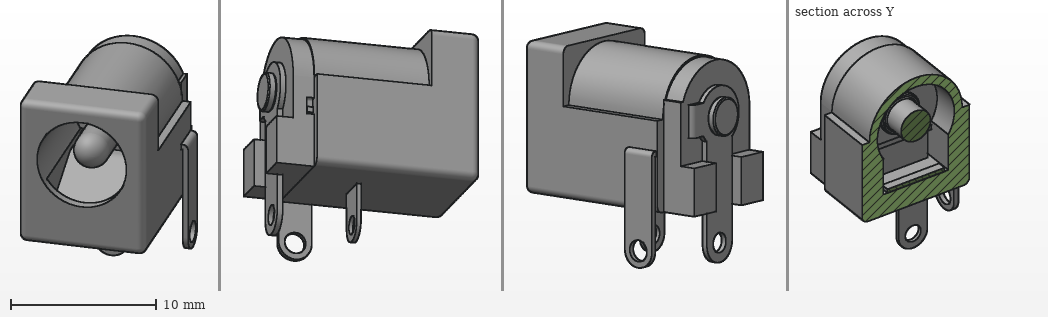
import cadquery as cq
import math


OVERALL_WIDTH = 9.5

HOUSING_WIDTH = 9.01
HOUSING_HALF_WIDTH = HOUSING_WIDTH / 2
HOUSING_TOP = 4.29
HOUSING_BOTTOM = -6.41
HOUSING_LENGTH = 11.8
COLLAR_LENGTH = 3.5
EDGE_RADIUS = 0.53
BARREL_RADIUS = 3.9
SHELF_Z = 0.1
BORE_DIAMETER = 6.4
SLOT_HALF_WIDTH = 2.7
SLOT_START = 0.73

SPRING_THICKNESS = 0.3
TERMINAL_THICKNESS = 0.4

SPRING_HALF_WIDTH = 2.4
SPRING_TOP_HALF_WIDTH = 2.15
SPRING_TOP = -1.25
RAMP_FOOT_Y = 1.58
RAMP_FOOT_Z = -3.55
RAMP_ANGLE = math.radians(36)
NOSE_RADIUS = 0.6
CREST_RADIUS = 0.88
CREST_LEG_LENGTH = 0.58
SPRING_TAIL_WIDTH = 2.4
SPRING_TAIL_BACK = 7.88
SPRING_TAIL_END = -10.25
SPRING_HOLE_DIAMETER = 1.3
NOSE_Y = RAMP_FOOT_Y + NOSE_RADIUS * math.sin(RAMP_ANGLE)
NOSE_Z = RAMP_FOOT_Z - NOSE_RADIUS * math.cos(RAMP_ANGLE)
SLOT_FLOOR = NOSE_Z - NOSE_RADIUS

PLUG_FACE_Y = 9.31
PLUG_BACK_Y = 13.3
PLUG_HALF_WIDTH = 3.81
PLUG_TOP_Z = 0.07
PLUG_TOP_RADIUS = PLUG_HALF_WIDTH
PLUG_SHOULDER_X = 3.55
FOOT_HALF_WIDTH = 2.41
FOOT_TOP = -1.7
BLOCK_BACK_Y = 14.5
BLOCK_TOP = -3.01
BOSS_DIAMETER = 3.2
BOSS_LENGTH = 0.29
WINDOW_BACK_Y = 12.31
WINDOW_TOP = -1.42
WINDOW_BOTTOM = -2.61
WINDOW_FILLET = 0.18
WINDOW_DEPTH = 0.32

PIN_DIAMETER = 2.5
PIN_TIP_Y = 1.35
PIN_COLLAR_DIAMETER = 2.7
PIN_COLLAR_LENGTH = 0.29
PIN_BACK_Y = 14.31
RIM_CHAMFER = (PIN_COLLAR_DIAMETER - PIN_DIAMETER) / 2

DISC_RADIUS = 2.13
REAR_TAIL_WIDTH = 2.8
REAR_TAIL_END = -10.31
REAR_HOLE_DIAMETER = 1.4
ARM_END_X = 2.92
ARM_HALF_HEIGHT = 1.17
ARM_LEG_LENGTH = 0.88
ARM_BEND_RADIUS = 0.38
REAR_TERMINAL_BACK = PLUG_BACK_Y + TERMINAL_THICKNESS

SIDE_OUTER_X = OVERALL_WIDTH - HOUSING_HALF_WIDTH
SIDE_TOP = -2.03
SIDE_BOTTOM = SIDE_TOP - TERMINAL_THICKNESS
SIDE_BEND_RADIUS = 0.38
SIDE_TAIL_WIDTH = 2.4
SIDE_TAIL_END = -10.31
SIDE_HOLE_DIAMETER = 1.5
SIDE_PLATE_BACK = 12.23


def block(x0, x1, y0, y1, z0, z1):
    """Box between the given limits."""
    return cq.Workplane("XY").box(x1 - x0, y1 - y0, z1 - z0, centered=False).translate((x0, y0, z0))


def rod(diameter, y0, y1, z=0.0):
    """Cylinder along Y between y0 and y1."""
    return cq.Workplane("XZ", origin=(0, y0, z)).circle(diameter / 2).extrude(y0 - y1)


def make_side_plate():
    """Flat part of the side terminal, lying inside the plug and reaching its left window."""
    plate = block(-SLOT_HALF_WIDTH, SLOT_HALF_WIDTH, PLUG_FACE_Y, SIDE_PLATE_BACK, SIDE_BOTTOM, SIDE_TOP)
    end_x = -PLUG_HALF_WIDTH + WINDOW_DEPTH / 2
    tip = block(end_x, 0, HOUSING_LENGTH, SIDE_PLATE_BACK, SIDE_BOTTOM, SIDE_TOP)
    return plate.union(tip)


def tail_with_hole(width, end_z, top_z, hole_diameter, y0, y1):
    """Flat tail with a round end and a concentric hole."""
    center_z = end_z + width / 2
    tail = block(-width / 2, width / 2, y0, y1, center_z, top_z).union(rod(width, y0, y1, center_z))
    return tail.cut(rod(hole_diameter, y0, y1, center_z))


def make_side_terminal():
    """Angled strip that leaves the housing through its right wall and turns down into a tail."""
    inner_x = SIDE_OUTER_X - TERMINAL_THICKNESS
    tail_back = PLUG_FACE_Y + SIDE_TAIL_WIDTH
    tail_center_y = PLUG_FACE_Y + SIDE_TAIL_WIDTH / 2
    arm = block(0, SIDE_OUTER_X, PLUG_FACE_Y, tail_back, SIDE_BOTTOM, SIDE_TOP)
    arm = arm.edges("|Y and >X and >Z").fillet(SIDE_BEND_RADIUS)
    tail = tail_with_hole(
        SIDE_TAIL_WIDTH, SIDE_TAIL_END, SIDE_BOTTOM, SIDE_HOLE_DIAMETER, inner_x, SIDE_OUTER_X
    )
    tail = tail.rotate((0, 0, 0), (0, 0, 1), -90).translate((0, tail_center_y, 0))
    return arm.union(tail).union(make_side_plate())


def make_arm_leg():
    """Leg of the rear terminal's arm, bent forward into the plug."""
    return block(
        ARM_END_X - TERMINAL_THICKNESS, ARM_END_X,
        PLUG_BACK_Y - ARM_LEG_LENGTH, REAR_TERMINAL_BACK,
        -ARM_HALF_HEIGHT, ARM_HALF_HEIGHT,
    )


def make_rear_terminal():
    """Disc around the pin with a tail downward and an arm bent forward into the plug."""
    arm = block(0, ARM_END_X, PLUG_BACK_Y, REAR_TERMINAL_BACK, -ARM_HALF_HEIGHT, ARM_HALF_HEIGHT)
    arm = arm.union(make_arm_leg()).edges("|Z and >X and >Y").fillet(ARM_BEND_RADIUS)
    tail = tail_with_hole(
        REAR_TAIL_WIDTH, REAR_TAIL_END, 0, REAR_HOLE_DIAMETER, PLUG_BACK_Y, REAR_TERMINAL_BACK
    )
    disc = rod(2 * DISC_RADIUS, PLUG_BACK_Y, REAR_TERMINAL_BACK)
    pin_hole = rod(PIN_DIAMETER, PLUG_BACK_Y, REAR_TERMINAL_BACK)
    return disc.union(tail).union(arm).cut(pin_hole)


def make_pin():
    """Domed pin with a chamfered collar at the plug boss and a chamfered head behind the rear terminal."""
    dome_y = PIN_TIP_Y + PIN_DIAMETER / 2
    dome = cq.Workplane("XZ", origin=(0, dome_y, 0)).sphere(PIN_DIAMETER / 2)
    shaft = rod(PIN_DIAMETER, dome_y, PIN_BACK_Y).union(dome)
    collar_y = PLUG_FACE_Y - BOSS_LENGTH - RIM_CHAMFER
    collar = rod(PIN_COLLAR_DIAMETER, collar_y, collar_y + PIN_COLLAR_LENGTH)
    collar = collar.faces("<Y").chamfer(RIM_CHAMFER)
    head = rod(PIN_COLLAR_DIAMETER, REAR_TERMINAL_BACK, PIN_BACK_Y).faces("<Y or >Y").chamfer(RIM_CHAMFER)
    return shaft.union(collar).union(head)


def arc_point(y, z, radius, angle):
    return (y + radius * math.cos(angle), z + radius * math.sin(angle))


def make_spring():
    """Folded strip: tail, floor leg, nose bend, ramp, crest bend and crest leg, each cut to width."""
    normal = math.pi / 2 + RAMP_ANGLE
    crest_z = SPRING_TOP - CREST_RADIUS
    ramp_top_z = crest_z + CREST_RADIUS * math.sin(normal)
    ramp_top_y = RAMP_FOOT_Y + (ramp_top_z - RAMP_FOOT_Z) / math.tan(RAMP_ANGLE)
    crest_y = ramp_top_y + CREST_RADIUS * math.sin(RAMP_ANGLE)
    nose_inner = NOSE_RADIUS - SPRING_THICKNESS
    crest_inner = CREST_RADIUS - SPRING_THICKNESS
    crest_middle = (normal + math.pi / 2) / 2
    crest_leg_end = crest_y + CREST_LEG_LENGTH
    nose_middle = (normal + 1.5 * math.pi) / 2
    side_outline = (
        cq.Workplane("YZ", origin=(-SPRING_HALF_WIDTH, 0, 0))
        .moveTo(SPRING_TAIL_BACK, SPRING_TAIL_END)
        .lineTo(SPRING_TAIL_BACK, SLOT_FLOOR + SPRING_THICKNESS)
        .lineTo(NOSE_Y, SLOT_FLOOR + SPRING_THICKNESS)
        .threePointArc(
            arc_point(NOSE_Y, NOSE_Z, nose_inner, nose_middle),
            arc_point(NOSE_Y, NOSE_Z, nose_inner, normal),
        )
        .lineTo(*arc_point(crest_y, crest_z, crest_inner, normal))
        .threePointArc(
            arc_point(crest_y, crest_z, crest_inner, crest_middle),
            (crest_y, SPRING_TOP - SPRING_THICKNESS),
        )
        .lineTo(crest_leg_end, SPRING_TOP - SPRING_THICKNESS)
        .lineTo(crest_leg_end, SPRING_TOP)
        .lineTo(crest_y, SPRING_TOP)
        .threePointArc(
            arc_point(crest_y, crest_z, CREST_RADIUS, crest_middle),
            arc_point(crest_y, crest_z, CREST_RADIUS, normal),
        )
        .lineTo(RAMP_FOOT_Y, RAMP_FOOT_Z)
        .threePointArc(
            arc_point(NOSE_Y, NOSE_Z, NOSE_RADIUS, nose_middle),
            (NOSE_Y, SLOT_FLOOR),
        )
        .lineTo(SPRING_TAIL_BACK - SPRING_THICKNESS, SLOT_FLOOR)
        .lineTo(SPRING_TAIL_BACK - SPRING_THICKNESS, SPRING_TAIL_END)
        .close()
        .extrude(2 * SPRING_HALF_WIDTH)
    )
    front_outline = (
        cq.Workplane("XZ")
        .polyline([
            (-SPRING_HALF_WIDTH, SLOT_FLOOR),
            (SPRING_HALF_WIDTH, SLOT_FLOOR),
            (SPRING_HALF_WIDTH, RAMP_FOOT_Z),
            (SPRING_TOP_HALF_WIDTH, SPRING_TOP),
            (-SPRING_TOP_HALF_WIDTH, SPRING_TOP),
            (-SPRING_HALF_WIDTH, RAMP_FOOT_Z),
        ])
        .close()
        .extrude(-HOUSING_LENGTH)
    )
    tail_outline = tail_with_hole(
        SPRING_TAIL_WIDTH, SPRING_TAIL_END, SLOT_FLOOR, SPRING_HOLE_DIAMETER, 0, HOUSING_LENGTH
    )
    return side_outline.intersect(front_outline.union(tail_outline))


def make_housing_body():
    """Rounded square collar, lower body with side shelves, and barrel."""
    body = block(
        -HOUSING_HALF_WIDTH, HOUSING_HALF_WIDTH, 0, HOUSING_LENGTH, HOUSING_BOTTOM, HOUSING_TOP
    )
    body = body.edges("|Y").fillet(EDGE_RADIUS).faces("<Y").edges().fillet(EDGE_RADIUS)
    above_shelf = block(
        -HOUSING_HALF_WIDTH, HOUSING_HALF_WIDTH, COLLAR_LENGTH, HOUSING_LENGTH, SHELF_Z, HOUSING_TOP
    )
    barrel = rod(2 * BARREL_RADIUS, COLLAR_LENGTH, HOUSING_LENGTH, SHELF_Z)
    return body.cut(above_shelf).union(barrel)


def make_housing():
    """Housing body with its bore, the spring slot below it and the openings for two tails."""
    bore = rod(BORE_DIAMETER, 0, HOUSING_LENGTH)
    spring_slot = block(
        -SLOT_HALF_WIDTH, SLOT_HALF_WIDTH, SLOT_START, HOUSING_LENGTH, SLOT_FLOOR, FOOT_TOP
    )
    spring_tail_opening = block(
        -SPRING_TAIL_WIDTH / 2, SPRING_TAIL_WIDTH / 2,
        SPRING_TAIL_BACK - SPRING_THICKNESS, SPRING_TAIL_BACK,
        HOUSING_BOTTOM, SLOT_FLOOR,
    )
    side_terminal_opening = block(
        0, HOUSING_HALF_WIDTH,
        PLUG_FACE_Y, PLUG_FACE_Y + SIDE_TAIL_WIDTH,
        SIDE_BOTTOM, SIDE_TOP,
    )
    body = make_housing_body().cut(bore).cut(spring_slot)
    return body.cut(spring_tail_opening).cut(side_terminal_opening)


def make_plug_insert():
    """Front part of the plug, filling the bore and the slot of the housing."""
    insert = rod(BORE_DIAMETER, PLUG_FACE_Y, HOUSING_LENGTH)
    bore_radius = BORE_DIAMETER / 2
    for x0, x1 in ((-bore_radius, -FOOT_HALF_WIDTH), (FOOT_HALF_WIDTH, bore_radius)):
        insert = insert.cut(block(x0, x1, PLUG_FACE_Y, HOUSING_LENGTH, -bore_radius, FOOT_TOP))
    foot = block(-FOOT_HALF_WIDTH, FOOT_HALF_WIDTH, PLUG_FACE_Y, HOUSING_LENGTH, SLOT_FLOOR, FOOT_TOP)
    boss = rod(BOSS_DIAMETER, PLUG_FACE_Y - BOSS_LENGTH, PLUG_FACE_Y).faces("<Y").chamfer(RIM_CHAMFER)
    return insert.union(foot).union(boss)


def make_plug_window():
    """Recess in the left wall of the plug, rounded along its inner edges."""
    inner_x = -PLUG_HALF_WIDTH + WINDOW_DEPTH
    recess = block(-PLUG_HALF_WIDTH, inner_x, HOUSING_LENGTH, WINDOW_BACK_Y, WINDOW_BOTTOM, WINDOW_TOP)
    return recess.edges("|Y and >X").fillet(WINDOW_FILLET)


def make_plug():
    """Rear closure with round top, right shoulder and split rear block, cut for the metal parts."""
    shoulder_z = PLUG_TOP_Z + math.sqrt(PLUG_TOP_RADIUS**2 - PLUG_SHOULDER_X**2)
    back = rod(2 * PLUG_TOP_RADIUS, HOUSING_LENGTH, PLUG_BACK_Y, PLUG_TOP_Z)
    back = back.union(
        block(-PLUG_HALF_WIDTH, PLUG_HALF_WIDTH, HOUSING_LENGTH, PLUG_BACK_Y, HOUSING_BOTTOM, PLUG_TOP_Z)
    )
    back = back.union(block(0, PLUG_HALF_WIDTH, HOUSING_LENGTH, PLUG_BACK_Y, PLUG_TOP_Z, shoulder_z))
    rear_block = block(
        -PLUG_HALF_WIDTH, PLUG_HALF_WIDTH, PLUG_BACK_Y, BLOCK_BACK_Y, HOUSING_BOTTOM, BLOCK_TOP
    )
    tail_slot = block(
        -REAR_TAIL_WIDTH / 2, REAR_TAIL_WIDTH / 2, PLUG_BACK_Y, BLOCK_BACK_Y, HOUSING_BOTTOM, BLOCK_TOP
    )
    plug = back.union(rear_block.cut(tail_slot)).union(make_plug_insert())
    plug = plug.cut(make_plug_window()).cut(make_side_plate()).cut(make_arm_leg())
    return plug.cut(make_pin())


housing = make_housing()
plug = make_plug()
pin = make_pin()
rear_terminal = make_rear_terminal()
side_terminal = make_side_terminal()
spring = make_spring()

result = cq.Compound.makeCompound([
    housing.solids().val(),
    plug.solids().val(),
    pin.solids().val(),
    rear_terminal.solids().val(),
    side_terminal.solids().val(),
    spring.solids().val(),
])